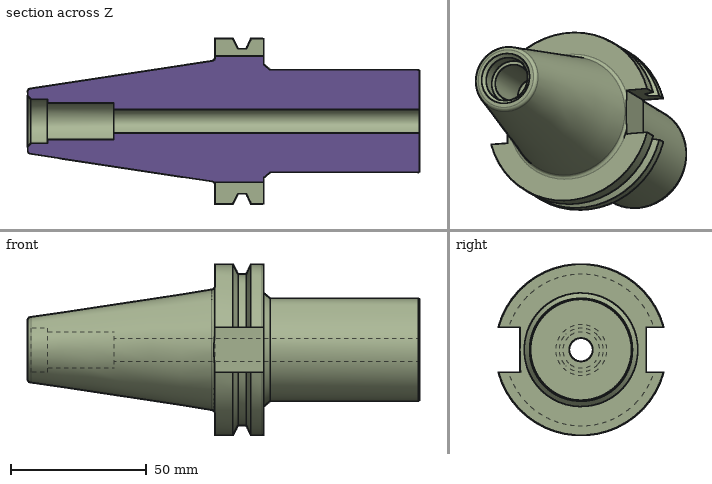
import cadquery as cq
import math

total_length = 144.5
tip_round = 1.3
taper_end = 67.8
flange_start = 69.1
flange_end = 87.2
collar_end = 89.5

tip_radius = 12.1
taper_radius = 44.5 / 2
flange_radius = 63.3 / 2
collar_radius = 21.0
shank_radius = 38.0 / 2
neck_fillet = flange_start - taper_end
flange_chamfer = 0.9
flange_chamfer_height = 0.1
shank_chamfer = 0.5

groove_start = 75.7
groove_end = 82.4
groove_floor_start = 77.6
groove_floor_end = 80.6
groove_floor_radius = 28.0

through_diameter = 8.5
thread_diameter = 13.5
thread_depth = 31.8
counterbore_diameter = 16.2
counterbore_depth = 7.4
mouth_chamfer = 1.3

slot_start = 68.7
slot_width = 16.5
slot_floor_plus_y = 24.1
slot_floor_minus_y = 22.5


def turned_body():
    """Taper, grooved flange, collar and shank revolved about X."""
    half_root = math.sqrt(0.5)
    tip_mid = (tip_round * (1 - half_root), tip_radius - tip_round * (1 - half_root))
    neck_mid = (
        taper_end + neck_fillet * half_root,
        taper_radius + neck_fillet * (1 - half_root),
    )
    profile = (
        cq.Workplane("XY")
        .moveTo(0, 0)
        .lineTo(0, tip_radius - tip_round)
        .threePointArc(tip_mid, (tip_round, tip_radius))
        .lineTo(taper_end, taper_radius)
        .threePointArc(neck_mid, (flange_start, taper_radius + neck_fillet))
        .lineTo(flange_start, flange_radius)
        .lineTo(groove_start, flange_radius)
        .lineTo(groove_floor_start, groove_floor_radius)
        .lineTo(groove_floor_end, groove_floor_radius)
        .lineTo(groove_end, flange_radius)
        .lineTo(flange_end - flange_chamfer, flange_radius)
        .lineTo(flange_end, flange_radius - flange_chamfer_height)
        .lineTo(flange_end, collar_radius)
        .lineTo(collar_end, shank_radius)
        .lineTo(total_length - shank_chamfer, shank_radius)
        .lineTo(total_length, shank_radius - shank_chamfer)
        .lineTo(total_length, 0)
        .close()
    )
    return profile.revolve(360, (0, 0, 0), (1, 0, 0))


def axial_bore():
    """Through hole, thread bore and chamfered counterbore, as one cutter."""
    counterbore_radius = counterbore_diameter / 2
    profile = (
        cq.Workplane("XY")
        .moveTo(0, 0)
        .lineTo(0, counterbore_radius + mouth_chamfer)
        .lineTo(mouth_chamfer, counterbore_radius)
        .lineTo(counterbore_depth, counterbore_radius)
        .lineTo(counterbore_depth, thread_diameter / 2)
        .lineTo(thread_depth, thread_diameter / 2)
        .lineTo(thread_depth, through_diameter / 2)
        .lineTo(total_length, through_diameter / 2)
        .lineTo(total_length, 0)
        .close()
    )
    return profile.revolve(360, (0, 0, 0), (1, 0, 0))


def drive_slot(side, floor):
    """Cutter across the flange and the edge of the neck fillet; side is +1 for +Y and -1 for -Y."""
    length = flange_end - slot_start
    depth = flange_radius - floor
    center = (slot_start + length / 2, side * (floor + depth / 2), 0)
    return cq.Workplane("XY").box(length, depth, slot_width).translate(center)


result = turned_body().cut(axial_bore())
for side, floor in ((1, slot_floor_plus_y), (-1, slot_floor_minus_y)):
    result = result.cut(drive_slot(side, floor))